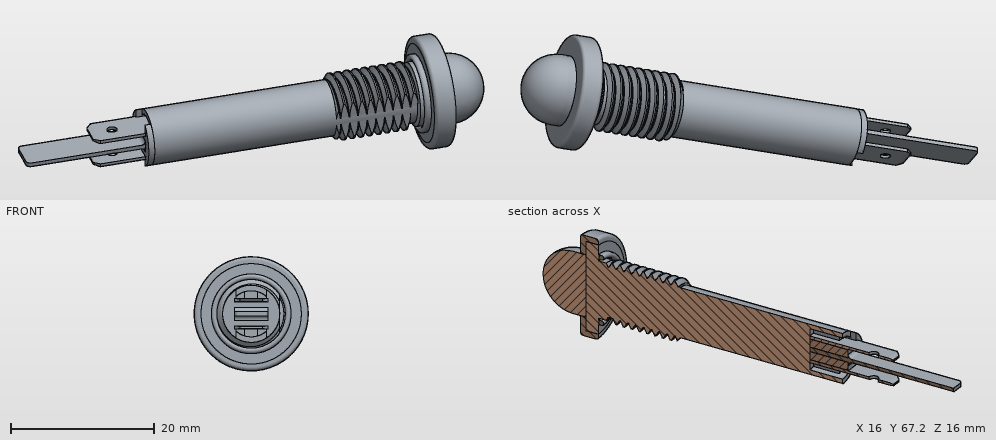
import cadquery as cq
import math


overall_length = 67.15
diagonal = math.sqrt(0.5)

lens_tip_y = overall_length / 2
lens_radius = 5.0
dome_base_y = lens_tip_y - lens_radius
bezel_radius = 8.0
bezel_front_y = 27.45
bezel_rear_y = 24.45
bezel_fillet = 0.505
bezel_lip = 1.0

seat_radius = 7.015
seat_front_y = bezel_front_y - bezel_lip
tube_radius = 3.995
tube_end_y = -15.45
bore_radius = 3.2
plug_depth = 5.4
bore_bottom_y = tube_end_y + plug_depth

seal_radius = 5.6
seal_rear_y = 23.55
seal_round = 0.4
seal_bore_radius = seal_radius - 2 * seal_round

neck_radius = 4.55
neck_end_y = 23.15
neck_bevel_length = 0.3

thread_radius = 4.8
thread_pitch = 1.3
thread_turns = 11
thread_start_y = 9.8
thread_top_y = 23.2
thread_end_y = 11.1
thread_runout = 0.8
thread_flat_x = 3.95
thread_crest_width = 0.235
thread_flank_angle = 30.0
thread_overlap = 0.1

terminal_width = 4.7
middle_thickness = 0.6
middle_corner_radius = 0.64
root_fillet = 0.6
side_thickness = 0.5
side_offset = 1.915
side_end_y = -23.7
side_corner = 0.8
tip_bevel_length = 0.7
tip_bevel_depth = 0.1
hole_diameter = 1.4
hole_y = -20.5
middle_end_y = lens_tip_y - overall_length

cap_thickness = 0.9
cap_end_y = tube_end_y - cap_thickness
notch_width = 4.2
notch_depth = 2.0
channel_width = 1.8
notch_floor_z = side_offset + side_thickness / 2


def revolved(profile):
    """Turn a closed half profile in the XY plane once around the Y axis."""
    return profile.close().revolve(360, (0, 0), (0, 1))


def cylinder(radius, y_low, y_high):
    """Solid cylinder along the Y axis between two heights."""
    return revolved(
        cq.Workplane("XY").moveTo(0, y_low).lineTo(radius, y_low).lineTo(radius, y_high).lineTo(0, y_high)
    )


def block(width, y_low, y_high, z_low, z_high):
    """Box centred on X between the given Y and Z limits."""
    return cq.Workplane("XY").box(width, y_high - y_low, z_high - z_low, centered=(True, False, False)).translate(
        (0, y_low, z_low)
    )


def make_lens():
    """Domed lens whose stem stands on the housing seat."""
    dome_mid = lens_radius * diagonal
    return revolved(
        cq.Workplane("XY")
        .moveTo(0, seat_front_y)
        .lineTo(lens_radius, seat_front_y)
        .lineTo(lens_radius, dome_base_y)
        .threePointArc((dome_mid, dome_base_y + dome_mid), (0, lens_tip_y))
    )


def make_bezel():
    """Rounded ring that clamps the housing seat and lets the lens through."""
    ring = cylinder(bezel_radius, bezel_rear_y, bezel_front_y).edges().fillet(bezel_fillet)
    ring = ring.cut(cylinder(lens_radius, bezel_rear_y, bezel_front_y))
    return ring.cut(cylinder(seat_radius, bezel_rear_y, seat_front_y))


def make_seal():
    """Sealing ring against the seat, with a half-round rear end."""
    round_y = seal_rear_y + seal_round
    return revolved(
        cq.Workplane("XY")
        .moveTo(seal_bore_radius, bezel_rear_y)
        .lineTo(seal_radius, bezel_rear_y)
        .lineTo(seal_radius, round_y)
        .threePointArc((seal_radius - seal_round, seal_rear_y), (seal_bore_radius, round_y))
    )


def make_thread():
    """Right-handed helical ridge, tapered at its rear end and flattened on the +X side."""
    root_radius = tube_radius - thread_overlap
    envelope_radius = thread_radius + thread_overlap
    ridge_height = thread_radius - root_radius
    half_crest = thread_crest_width / 2
    half_root = half_crest + ridge_height * math.tan(math.radians(thread_flank_angle))
    helix = cq.Wire.makeHelix(thread_pitch, thread_pitch * thread_turns, root_radius)
    ridge = (
        cq.Workplane("XZ")
        .polyline(
            [
                (root_radius, -half_root),
                (thread_radius, -half_crest),
                (thread_radius, half_crest),
                (root_radius, half_root),
            ]
        )
        .close()
        .sweep(cq.Workplane("XY").add(helix), isFrenet=True)
        .rotate((0, 0, 0), (1, 0, 0), -90)
        .translate((0, thread_start_y, 0))
    )
    envelope = revolved(
        cq.Workplane("XY")
        .moveTo(0, thread_end_y)
        .lineTo(tube_radius, thread_end_y)
        .lineTo(envelope_radius, thread_end_y + thread_runout)
        .lineTo(envelope_radius, thread_top_y)
        .lineTo(0, thread_top_y)
    )
    flat_side = block(
        2 * envelope_radius, thread_start_y - thread_pitch, bezel_front_y, -envelope_radius, envelope_radius
    ).translate((thread_flat_x - envelope_radius, 0, 0))
    return ridge.intersect(flat_side).intersect(envelope)


def make_neck():
    """Short thicker neck under the seat, bevelled down to the thread root."""
    return revolved(
        cq.Workplane("XY")
        .moveTo(0, neck_end_y - neck_bevel_length)
        .lineTo(tube_radius, neck_end_y - neck_bevel_length)
        .lineTo(neck_radius, neck_end_y)
        .lineTo(neck_radius, bezel_rear_y)
        .lineTo(0, bezel_rear_y)
    )


def make_housing():
    """Seat disc, neck, threaded barrel and tube with a blind bore for the end cap."""
    body = cylinder(tube_radius, tube_end_y, bezel_rear_y)
    body = body.union(cylinder(seat_radius, bezel_rear_y, seat_front_y))
    body = body.union(make_neck()).union(make_thread())
    return body.cut(cylinder(bore_radius, tube_end_y, bore_bottom_y))


def make_middle_terminal():
    """Long blade with rounded tip corners and a flared root against the end cap."""
    half = middle_thickness / 2
    blade = block(terminal_width, middle_end_y, bore_bottom_y, -half, half)
    blade = blade.faces("<Y").edges("|Z").fillet(middle_corner_radius)
    flare_y = cap_end_y - root_fillet
    arc_offset = root_fillet * (1 - diagonal)
    flare = (
        cq.Workplane("YZ")
        .moveTo(flare_y, half)
        .threePointArc((cap_end_y - arc_offset, half + arc_offset), (cap_end_y, half + root_fillet))
        .lineTo(cap_end_y, -half - root_fillet)
        .threePointArc((cap_end_y - arc_offset, -half - arc_offset), (flare_y, -half))
        .close()
        .extrude(terminal_width / 2, both=True)
    )
    return blade.union(flare)


def make_side_terminal(side):
    """Short drilled blade above (side = 1) or below (side = -1) the middle one."""
    half = side_thickness / 2
    tip_half = half - tip_bevel_depth
    bevel_y = side_end_y + tip_bevel_length
    blade = (
        cq.Workplane("YZ")
        .polyline(
            [
                (bore_bottom_y, -half),
                (bevel_y, -half),
                (side_end_y, -tip_half),
                (side_end_y, tip_half),
                (bevel_y, half),
                (bore_bottom_y, half),
            ]
        )
        .close()
        .extrude(terminal_width / 2, both=True)
    )
    half_width = terminal_width / 2
    outline = (
        cq.Workplane("XY")
        .polyline(
            [
                (-half_width, bore_bottom_y),
                (-half_width, side_end_y + side_corner),
                (-half_width + side_corner, side_end_y),
                (half_width - side_corner, side_end_y),
                (half_width, side_end_y + side_corner),
                (half_width, bore_bottom_y),
            ]
        )
        .close()
        .extrude(side_thickness, both=True)
    )
    hole = cq.Workplane("XY").center(0, hole_y).circle(hole_diameter / 2).extrude(side_thickness, both=True)
    return blade.intersect(outline).cut(hole).translate((0, 0, side * side_offset))


def make_end_cap(terminals):
    """Cap with a plug in the bore, slots for the terminals and a notch above and below them."""
    cap = cylinder(tube_radius, cap_end_y, tube_end_y).union(cylinder(bore_radius, tube_end_y, bore_bottom_y))
    notch = block(notch_width, cap_end_y, tube_end_y, notch_floor_z, tube_radius)
    recess = block(notch_width, tube_end_y, cap_end_y + notch_depth, notch_floor_z, bore_radius)
    channel = block(channel_width, tube_end_y, bore_bottom_y, notch_floor_z, bore_radius)
    opening = notch.union(recess).union(channel)
    cap = cap.cut(opening).cut(opening.mirror("XY"))
    for terminal in terminals:
        cap = cap.cut(terminal)
    return cap


lens = make_lens()
bezel = make_bezel()
seal = make_seal()
housing = make_housing()
middle_terminal = make_middle_terminal()
side_terminals = [make_side_terminal(side) for side in (1, -1)]
end_cap = make_end_cap([middle_terminal, *side_terminals])

result = cq.Compound.makeCompound(
    [
        lens.val(),
        bezel.val(),
        seal.val(),
        housing.val(),
        end_cap.val(),
        middle_terminal.val(),
        *[terminal.val() for terminal in side_terminals],
    ]
)